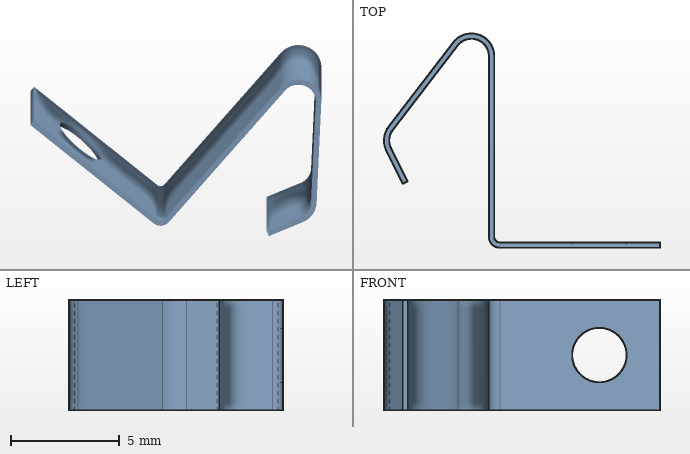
import cadquery as cq
import math

length = 12.7
depth = 9.85
height = 5.08
thickness = 0.25

wall_right_x = 5.08
foot_bend_radius = 0.5
spring_bend_radius = 1.05

arm_angle = 52.5
tail_angle = 63.5
tail_length = 1.7

hole_diameter = 2.49
hole_to_end = 2.8

wall_left_x = wall_right_x - thickness
foot_bend_center = (wall_left_x + foot_bend_radius, foot_bend_radius)
crest_center = (wall_right_x - spring_bend_radius, depth - spring_bend_radius)
nose_x = spring_bend_radius
arm_drop = (crest_center[0] - nose_x) * math.tan(math.radians(arm_angle))
nose_center = (nose_x, crest_center[1] - arm_drop)

arm_normal = 90 + arm_angle
tail_normal = 270 - tail_angle


def polar(center, radius, angle):
    """Point at the given radius and angle (degrees) from a centre."""
    turn = math.radians(angle)
    return (center[0] + radius * math.cos(turn), center[1] + radius * math.sin(turn))


def bend(profile, center, radius, start, end):
    """Draw a straight line to the start of a bend, then its arc."""
    middle = (start + end) / 2
    profile = profile.lineTo(*polar(center, radius, start))
    return profile.threePointArc(polar(center, radius, middle), polar(center, radius, end))


def make_strip():
    """Constant-thickness bent strip, extruded along Z."""
    foot_inner_radius = foot_bend_radius - thickness
    spring_inner_radius = spring_bend_radius - thickness
    tail_direction = -tail_angle
    outer_tail_start = polar(nose_center, spring_bend_radius, tail_normal)
    inner_tail_start = polar(nose_center, spring_inner_radius, tail_normal)

    profile = cq.Workplane("XY").moveTo(length, thickness)
    profile = bend(profile, foot_bend_center, foot_inner_radius, 270, 180)
    profile = bend(profile, crest_center, spring_bend_radius, 0, arm_normal)
    profile = bend(profile, nose_center, spring_bend_radius, arm_normal, tail_normal)
    profile = profile.lineTo(*polar(outer_tail_start, tail_length, tail_direction))

    profile = profile.lineTo(*polar(inner_tail_start, tail_length, tail_direction))
    profile = bend(profile, nose_center, spring_inner_radius, tail_normal, arm_normal)
    profile = bend(profile, crest_center, spring_inner_radius, arm_normal, 0)
    profile = bend(profile, foot_bend_center, foot_bend_radius, 180, 270)
    return profile.lineTo(length, 0).close().extrude(height)


def make_hole():
    """Cylinder through the foot along Y, at mid height."""
    return (
        cq.Workplane("XZ")
        .center(length - hole_to_end, height / 2)
        .circle(hole_diameter / 2)
        .extrude(-thickness)
    )


result = make_strip().cut(make_hole())